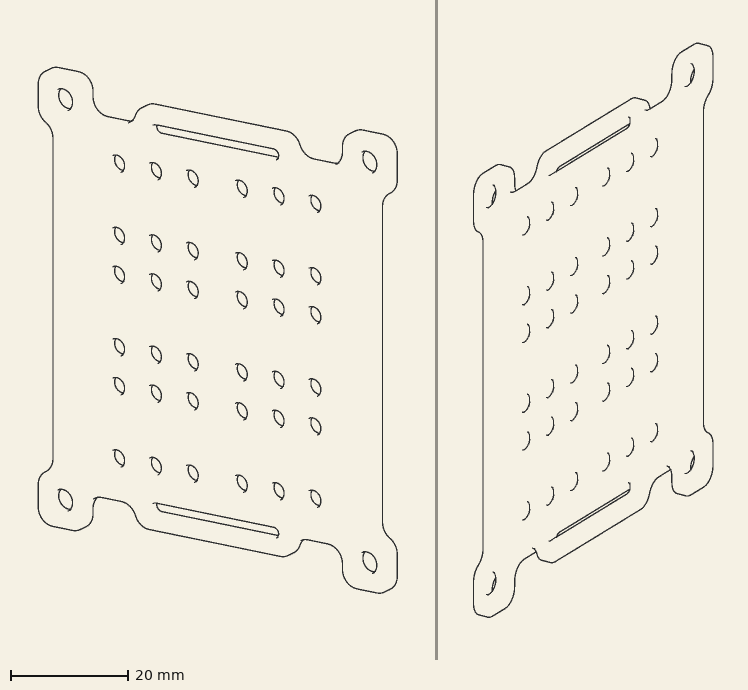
import cadquery as cq
import math

thickness = 2.0
overall_width = 72.0
overall_height = 82.0
body_width = 66.0
body_height = 68.0
tab_top_height = 76.0
tab_base_width = 38.0
lug_size = 10.0
blend_radius = 3.0
top_right_lug_drop = 0.8
edge_round = 0.1

lug_hole_diameter = 4.0
slot_length = 26.0
slot_width = 2.0

grid_hole_diameter = 3.2
grid_columns = (5.0, 12.5, 20.0)
grid_rows = (6.5, 13.5, 26.5)

half_width = overall_width / 2
half_height = overall_height / 2
half_body = body_width / 2
notch_floor = body_height / 2
tab_top = tab_top_height / 2
lug_inner = half_width - lug_size
lug_center_x = half_width - lug_size / 2
lug_center_z = half_height - lug_size / 2
slot_center_z = notch_floor
SIGNS = (-1, 1)


def s_curve_run(step):
    """Length over which two equal tangent arcs bridge a sideways step."""
    bend = math.acos(1 - step / (2 * blend_radius))
    return 2 * blend_radius * math.sin(bend)


def make_quarter(lug_drop=0.0):
    """Quarter of the plate with positive X and Z; lug_drop lowers the outer end of its lug."""
    r = blend_radius
    diagonal = r * (1 - math.sqrt(0.5))

    notch_start = tab_base_width / 2
    tab_end = notch_start - s_curve_run(tab_top - notch_floor)
    tab_mid = ((tab_end + notch_start) / 2, (tab_top + notch_floor) / 2)

    lug_bottom = half_height - lug_size + r - lug_drop
    side_top = lug_bottom - s_curve_run(half_width - half_body)
    lug_mid = ((half_width + half_body) / 2, (lug_bottom + side_top) / 2)

    outline = (
        cq.Workplane("XZ")
        .lineTo(0, tab_top)
        .lineTo(tab_end, tab_top)
        .tangentArcPoint(tab_mid, relative=False)
        .tangentArcPoint((notch_start, notch_floor), relative=False)
        .lineTo(lug_inner - r, notch_floor)
        .threePointArc((lug_inner - diagonal, notch_floor + diagonal), (lug_inner, notch_floor + r))
        .lineTo(lug_inner, half_height - r)
        .threePointArc((lug_inner + diagonal, half_height - diagonal), (lug_inner + r, half_height))
        .lineTo(half_width - r, half_height)
        .threePointArc((half_width - diagonal, half_height - diagonal), (half_width, half_height - r))
        .lineTo(half_width, lug_bottom)
        .tangentArcPoint(lug_mid, relative=False)
        .tangentArcPoint((half_body, side_top), relative=False)
        .lineTo(half_body, 0)
        .close()
    )
    return outline.extrude(thickness / 2, both=True)


def make_plate():
    """Full plate blank, from three mirrored quarters and the top right one."""
    quarter = make_quarter()
    top_left = quarter.mirror("YZ")
    bottom_right = quarter.mirror("XY")
    bottom_left = top_left.mirror("XY")
    top_right = make_quarter(top_right_lug_drop)
    return top_right.union(top_left).union(bottom_right).union(bottom_left).clean()


def mirrored_points(columns, rows):
    """Every column and row crossing, on both sides of both centre lines."""
    return [
        (side * x, end * z)
        for side in SIGNS
        for end in SIGNS
        for x in columns
        for z in rows
    ]


def round_holes(points, diameter):
    """Cutters for through holes at the given plate positions."""
    return cq.Workplane("XZ").pushPoints(points).circle(diameter / 2).extrude(thickness, both=True)


def strap_slots():
    """Cutters for the rounded slots in the top and bottom tabs."""
    centers = [(0, end * slot_center_z) for end in SIGNS]
    return cq.Workplane("XZ").pushPoints(centers).slot2D(slot_length, slot_width).extrude(thickness, both=True)


result = (
    make_plate()
    .cut(round_holes(mirrored_points([lug_center_x], [lug_center_z]), lug_hole_diameter))
    .cut(round_holes(mirrored_points(grid_columns, grid_rows), grid_hole_diameter))
    .cut(strap_slots())
    .faces("<Y or >Y")
    .fillet(edge_round)
)